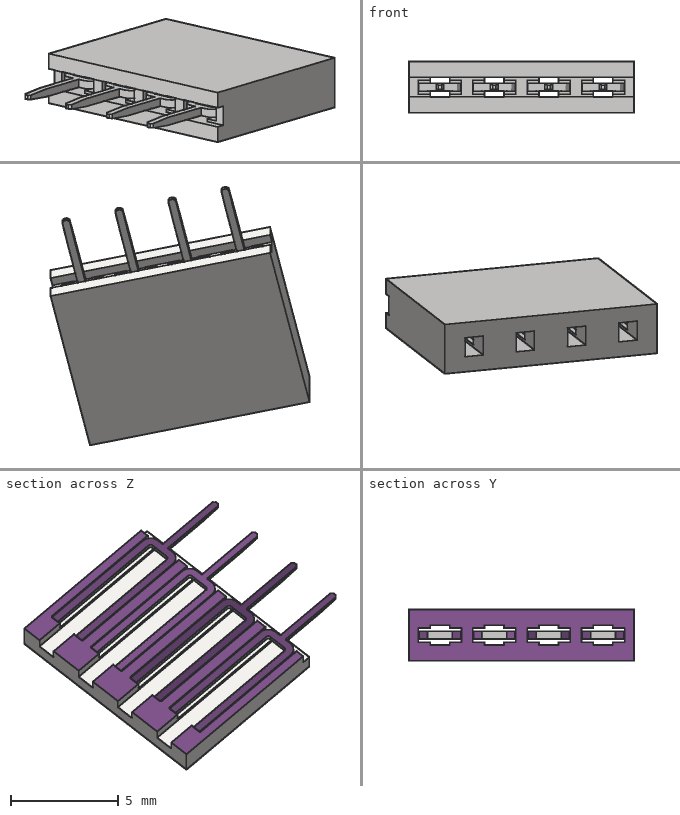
import cadquery as cq


contact_count = 4
pitch = 2.54

housing_width = 10.52
housing_length = 8.29
housing_height = 2.4
recess_height = 0.92
recess_depth = 0.4

window_width = 0.9
window_height = recess_height
slot_width = 2.0
slot_height = 0.65
slot_end = 6.9

contact_thickness = 0.38
fork_width = 1.95
fork_bend_radius = 0.51
fork_arm_width = 0.4
fork_base_front = 0.28

overall_length = 11.5
tail_width = 0.36
tail_tip_y = housing_length - overall_length
taper_length = 1.15
tip_thickness = 0.2
tip_chamfer = 0.1

contact_positions = [(i - (contact_count - 1) / 2) * pitch for i in range(contact_count)]


def box_between(width, height, y_start, y_end):
    """Box centred on X and Z that runs from y_start to y_end."""
    return cq.Workplane("XY").box(
        width, y_end - y_start, height, centered=(True, False, True)
    ).translate((0, y_start, 0))


def make_housing():
    """Block with a recess along its solder side and one cavity per contact."""
    block = box_between(housing_width, housing_height, 0, housing_length)
    recess = box_between(housing_width, recess_height, 0, recess_depth)
    block = block.cut(recess)

    window = box_between(window_width, window_height, 0, housing_length)
    slot = box_between(slot_width, slot_height, 0, slot_end)
    cavity = window.union(slot)
    for x in contact_positions:
        block = block.cut(cavity.translate((x, 0, 0)))
    return block


def make_fork():
    """Flat U whose arms reach the blind end of the slot, rounded at the base corners."""
    outer = box_between(fork_width, contact_thickness, fork_base_front, slot_end)
    outer = outer.edges("|Z and <Y").fillet(fork_bend_radius)
    gap_width = fork_width - 2 * fork_arm_width
    gap_start = fork_base_front + fork_arm_width
    gap_radius = fork_bend_radius - fork_arm_width
    gap = box_between(gap_width, contact_thickness, gap_start, slot_end)
    gap = gap.edges("|Z and <Y").fillet(gap_radius)
    return outer.cut(gap)


def make_tail():
    """Straight tail, tapered in thickness, with chamfered corners at the tip."""
    half_width = tail_width / 2
    half_thickness = contact_thickness / 2
    half_tip = tip_thickness / 2
    taper_start = tail_tip_y + taper_length
    side_profile = [
        (fork_base_front, half_thickness),
        (taper_start, half_thickness),
        (tail_tip_y, half_tip),
        (tail_tip_y, -half_tip),
        (taper_start, -half_thickness),
        (fork_base_front, -half_thickness),
    ]
    tail = cq.Workplane("YZ").polyline(side_profile).close().extrude(half_width, both=True)

    half_flat = half_width - tip_chamfer
    plan_outline = [
        (-half_width, fork_base_front),
        (-half_width, tail_tip_y + tip_chamfer),
        (-half_flat, tail_tip_y),
        (half_flat, tail_tip_y),
        (half_width, tail_tip_y + tip_chamfer),
        (half_width, fork_base_front),
    ]
    plan = cq.Workplane("XY").polyline(plan_outline).close().extrude(half_thickness, both=True)
    return tail.intersect(plan)


def make_contact(x):
    """One contact, fork and tail in one piece, centred on the given X."""
    return make_fork().union(make_tail()).translate((x, 0, 0))


housing = make_housing()
contacts = [make_contact(x) for x in contact_positions]

result = cq.Compound.makeCompound([housing.val(), *[contact.val() for contact in contacts]])